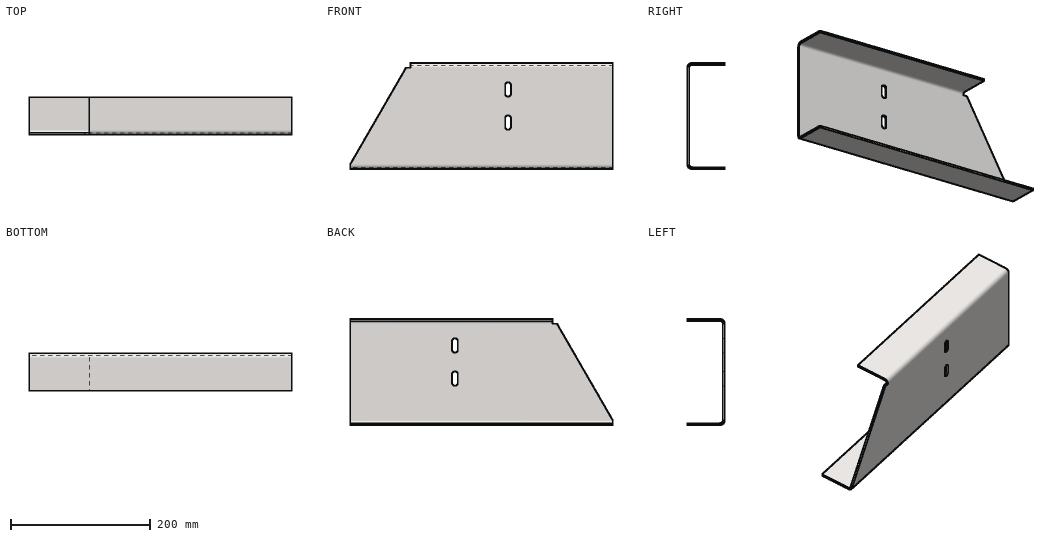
import cadquery as cq
import math

length = 377.5
depth = 54.0
height = 152.5

thickness = 3.0
outer_bend_radius = 6.8
inner_bend_radius = outer_bend_radius - thickness

slope_angle = 60.0
top_flange_start = 86.5

slot_width = 8.0
slot_length = 20.5
slot_x = 226.8
upper_slot_z = 114.5
slot_pitch = 47.5


def make_channel():
    """C-section along X, web on the Y = 0 plane, flanges toward +Y."""
    outside = (
        cq.Workplane("XY")
        .box(length, depth, height, centered=False)
        .edges("|X and <Y")
        .fillet(outer_bend_radius)
    )
    inside = (
        cq.Workplane("XY")
        .box(length, depth, height - 2 * thickness, centered=False)
        .translate((0, thickness, thickness))
        .edges("|X and <Y")
        .fillet(inner_bend_radius)
    )
    return outside.cut(inside)


def make_end_cut():
    """Waste removed from the low-X end, above the bottom bend."""
    web_bottom = outer_bend_radius
    web_top = height - outer_bend_radius
    slope_run = (web_top - web_bottom) / math.tan(math.radians(slope_angle))
    return (
        cq.Workplane("XZ")
        .moveTo(0, web_bottom)
        .lineTo(slope_run, web_top)
        .lineTo(top_flange_start, web_top)
        .lineTo(top_flange_start, height)
        .lineTo(0, height)
        .close()
        .extrude(-depth)
    )


def make_slots():
    """Two round-ended vertical slots, one above the other."""
    centers = [(slot_x, upper_slot_z - i * slot_pitch) for i in range(2)]
    return (
        cq.Workplane("XZ")
        .pushPoints(centers)
        .slot2D(slot_length, slot_width, angle=90)
        .extrude(-thickness)
    )


result = make_channel().cut(make_end_cut()).cut(make_slots())